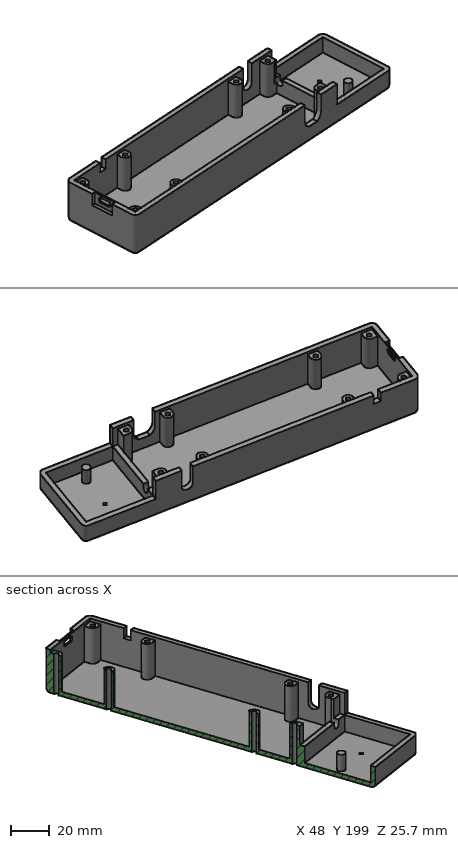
import cadquery as cq

length = 199.0
width = 48.0
height = 25.7
wall = 3.0
floor = 3.0
edge_radius = 3.0

bay_height = 12.7
bay_length = 42.5

post_radius = 3.0
post_hole = 2.5
post_top = 23.9
end_post_inset = 3.4
front_middle_post_y = {-1: 39.2, 1: 38.0}
rear_middle_post_y = 125.5

pin_diameter = 4.5
pin_top = 12.7
pin_x = 14.3
floor_hole = 2.0
floor_hole_x = -5.4
bay_feature_y = 176.0

cable_slot_y = 137.7
left_slot_width = 6.5
left_slot_bottom = 10.7
right_slot_width = 12.5
right_slot_bottom = 10.3
right_slot_arc_height = 5.4

wire_slot_width = 4.2
wire_slot_bottom = 8.5
wire_slot_x = -13.1

notch_width = 4.2
notch_depth = 6.0
notch_y = 25.3

port_x = 0.8
port_z = 22.5
port_width = 8.2
port_height = 3.2
recess_width = 13.7
recess_height = 7.2
recess_depth = 2.0

inner_x = width / 2 - wall
bay_front_y = length - bay_length
partition_front_y = bay_front_y - wall
post_x = inner_x - post_radius
front_post_y = wall + end_post_inset
rear_post_y = partition_front_y - end_post_inset


def block(x_range, y_range, z_range):
    """Box between two coordinates, in either order, along each axis."""
    spans = (x_range, y_range, z_range)
    sizes = [abs(end - start) for start, end in spans]
    corner = tuple(min(span) for span in spans)
    return cq.Workplane("XY").box(*sizes, centered=False).translate(corner)


def shell():
    """Rounded outer body, stepped down at the rear and hollowed into two compartments."""
    body = block((-width / 2, width / 2), (0, length), (0, height))
    body = body.edges("|Z").fillet(edge_radius)
    body = body.faces("<Z").edges().fillet(edge_radius)
    inside = (-inner_x, inner_x)
    body = body.cut(block((-width / 2, width / 2), (bay_front_y, length), (bay_height, height)))
    body = body.cut(block(inside, (partition_front_y, bay_front_y), (bay_height, height)))
    body = body.cut(block(inside, (bay_front_y, length - wall), (floor, height)))
    return body.cut(block(inside, (wall, partition_front_y), (floor, height)))


def post(side, y, end_wall_y=None):
    """Round post joined to the left (-1) or right (+1) wall, and to an end wall if one is given."""
    z_range = (floor, post_top)
    base = cq.Workplane("XY", origin=(side * post_x, y, floor))
    column = base.circle(post_radius).extrude(post_top - floor)
    web = block((side * post_x, side * inner_x), (y - post_radius, y + post_radius), z_range)
    column = column.union(web)
    if end_wall_y is not None:
        post_face_x = post_x - post_radius
        column = column.union(block((side * post_face_x, side * inner_x), (y, end_wall_y), z_range))
    return column


def round_slot(slot_width, arc_center_z, bottom):
    """Cutter open at the top, with a round lower end cut off level at the bottom height.

    It is centred on X = Y = 0 and reaches one wall thickness each way along Y.
    """
    radius = slot_width / 2
    cutter = cq.Workplane("XZ", origin=(0, 0, arc_center_z)).circle(radius).extrude(wall, both=True)
    cutter = cutter.union(block((-radius, radius), (-wall, wall), (arc_center_z, height)))
    return cutter.intersect(block((-radius, radius), (-wall, wall), (bottom, height)))


def side_slot(side, slot_width, arc_center_z, bottom):
    """Cable slot cutter placed in the left (-1) or right (+1) wall."""
    cutter = round_slot(slot_width, arc_center_z, bottom).rotate((0, 0, 0), (0, 0, 1), 90)
    return cutter.translate((side * (width - wall) / 2, cable_slot_y, 0))


def wire_slot():
    """U-shaped slot cutter for the top of the partition."""
    cutter = round_slot(wire_slot_width, wire_slot_bottom + wire_slot_width / 2, wire_slot_bottom)
    return cutter.translate((wire_slot_x, bay_front_y - wall / 2, 0))


def wall_notch():
    """Square notch cutter for the top of the left wall."""
    y_range = (notch_y - notch_width / 2, notch_y + notch_width / 2)
    return block((-width / 2, -inner_x), y_range, (height - notch_depth, height))


def connector_port():
    """Shallow outer recess plus a rounded opening through the front wall."""
    x_range = (port_x - recess_width / 2, port_x + recess_width / 2)
    recess = block(x_range, (0, recess_depth), (height - recess_height, height))
    opening = cq.Workplane("XZ").center(port_x, port_z).slot2D(port_width, port_height).extrude(-wall)
    return recess.union(opening)


result = shell()

post_points = []
for side in (-1, 1):
    stations = (
        (front_post_y, wall),
        (front_middle_post_y[side], None),
        (rear_middle_post_y, None),
        (rear_post_y, partition_front_y),
    )
    for y, end_wall_y in stations:
        result = result.union(post(side, y, end_wall_y))
        post_points.append((side * post_x, y))

result = result.cut(cq.Workplane("XY").pushPoints(post_points).circle(post_hole / 2).extrude(height))

pin_base = cq.Workplane("XY", origin=(pin_x, bay_feature_y, floor))
result = result.union(pin_base.circle(pin_diameter / 2).extrude(pin_top - floor))
hole_base = cq.Workplane("XY").center(floor_hole_x, bay_feature_y)
result = result.cut(hole_base.circle(floor_hole / 2).extrude(floor))

left_arc_z = left_slot_bottom + left_slot_width / 2
right_arc_z = right_slot_bottom + right_slot_arc_height
result = result.cut(side_slot(-1, left_slot_width, left_arc_z, left_slot_bottom))
result = result.cut(side_slot(1, right_slot_width, right_arc_z, right_slot_bottom))
result = result.cut(wire_slot())
result = result.cut(wall_notch())
result = result.cut(connector_port())